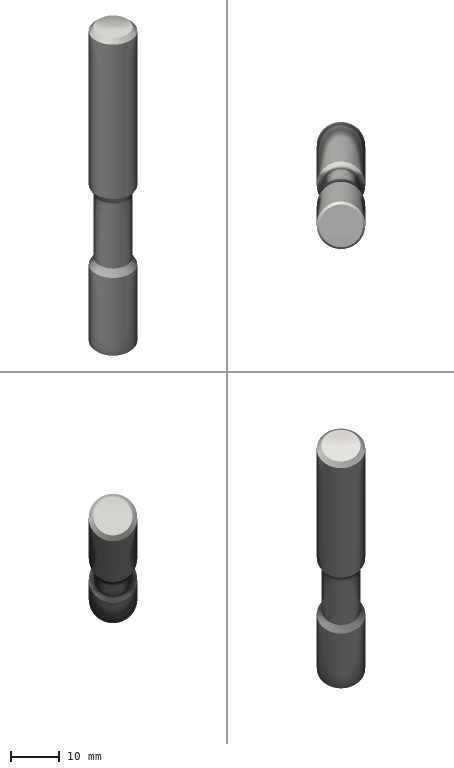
import cadquery as cq
import math

pin_length = 80.0
pin_diameter = 10.0
neck_diameter = 8.0

top_chamfer = 1.0
bottom_chamfer = 0.5

neck_bottom = 20.0
neck_top = 40.0
neck_taper_angle = 30.0

pin_radius = pin_diameter / 2
neck_radius = neck_diameter / 2
neck_depth = pin_radius - neck_radius
taper_length = neck_depth / math.tan(math.radians(neck_taper_angle))


def make_pin():
    """Revolve the half profile about the Z axis, starting at the base centre."""
    profile = (
        cq.Workplane("XZ")
        .moveTo(0, 0)
        .lineTo(pin_radius - bottom_chamfer, 0)
        .lineTo(pin_radius, bottom_chamfer)
        .lineTo(pin_radius, neck_bottom)
        .lineTo(neck_radius, neck_bottom + taper_length)
        .lineTo(neck_radius, neck_top - taper_length)
        .lineTo(pin_radius, neck_top)
        .lineTo(pin_radius, pin_length - top_chamfer)
        .lineTo(pin_radius - top_chamfer, pin_length)
        .lineTo(0, pin_length)
        .close()
    )
    return profile.revolve(360, (0, 0, 0), (0, 1, 0))


result = make_pin()